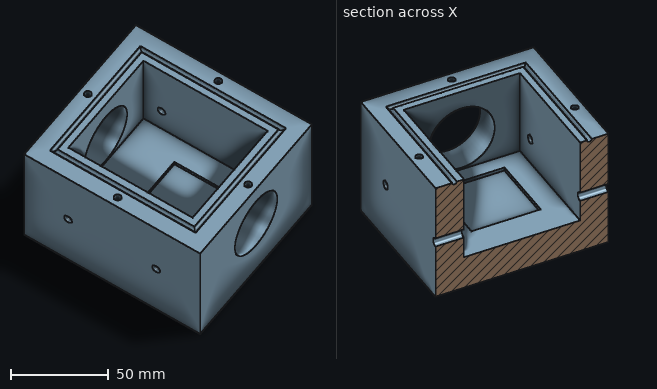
import cadquery as cq

LENGTH = 110.0
WIDTH = 100.0
HEIGHT = 70.0

CAVITY_LENGTH = 77.5
CAVITY_WIDTH = 67.1
CAVITY_DEPTH = 50.0

RECESS_SIDE = 40.0
RECESS_DEPTH = 2.0
RECESS_OFFSET_X = 10.0

GROOVE_RADIUS = 1.3
GROOVE_LENGTH = 88.2
GROOVE_WIDTH = 78.0

SCREW_DIAMETER = 4.0
SCREW_DEPTH = 20.0
SCREW_OFFSET_X = 50.0
SCREW_OFFSET_Y = 45.0

MOUNT_DIAMETER = 5.0
MOUNT_SPACING = LENGTH / 2
PORT_DIAMETER = 38.0
PORT_HEIGHT = 40.0


def make_housing():
    """Block with the main cavity and the recess in its floor."""
    block = cq.Workplane("XY").box(LENGTH, WIDTH, HEIGHT, centered=(True, True, False))
    cavity = (
        cq.Workplane("XY", origin=(0, 0, HEIGHT))
        .rect(CAVITY_LENGTH, CAVITY_WIDTH)
        .extrude(-CAVITY_DEPTH)
    )
    recess = (
        cq.Workplane("XY", origin=(RECESS_OFFSET_X, 0, HEIGHT - CAVITY_DEPTH))
        .rect(RECESS_SIDE, RECESS_SIDE)
        .extrude(-RECESS_DEPTH)
    )
    return block.cut(cavity).cut(recess)


def make_seal_groove():
    """Round cord with mitred corners, centred on the rim face."""
    path = cq.Workplane("XY", origin=(0, 0, HEIGHT)).rect(GROOVE_LENGTH, GROOVE_WIDTH)
    return (
        cq.Workplane("YZ", origin=(-GROOVE_LENGTH / 2, -GROOVE_WIDTH / 2, HEIGHT))
        .circle(GROOVE_RADIUS)
        .sweep(path, transition="right")
    )


def make_screw_holes():
    """Blind holes going down from the rim."""
    centres = [
        (SCREW_OFFSET_X, 0),
        (-SCREW_OFFSET_X, 0),
        (0, SCREW_OFFSET_Y),
        (0, -SCREW_OFFSET_Y),
    ]
    return (
        cq.Workplane("XY", origin=(0, 0, HEIGHT))
        .pushPoints(centres)
        .circle(SCREW_DIAMETER / 2)
        .extrude(-SCREW_DEPTH)
    )


def make_mount_holes():
    """Pair of holes along Y, through the front and back walls."""
    return (
        cq.Workplane("XZ", origin=(0, 0, HEIGHT / 2))
        .pushPoints([(-MOUNT_SPACING / 2, 0), (MOUNT_SPACING / 2, 0)])
        .circle(MOUNT_DIAMETER / 2)
        .extrude(WIDTH, both=True)
    )


def make_port():
    """Large hole along X, through both end walls."""
    return (
        cq.Workplane("YZ", origin=(0, 0, PORT_HEIGHT))
        .circle(PORT_DIAMETER / 2)
        .extrude(LENGTH, both=True)
    )


result = (
    make_housing()
    .cut(make_seal_groove())
    .cut(make_screw_holes())
    .cut(make_mount_holes())
    .cut(make_port())
)